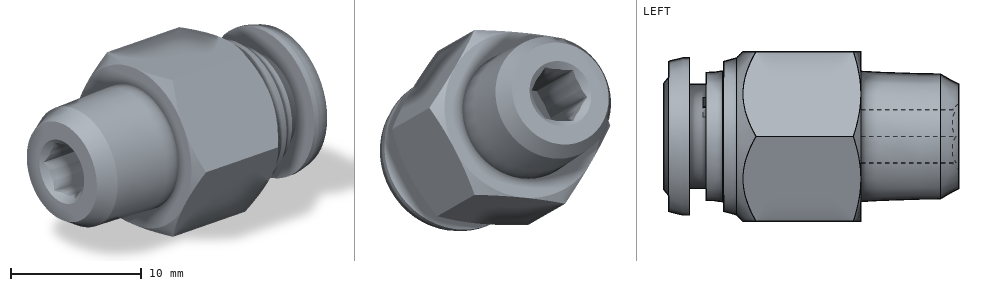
import cadquery as cq
import math

total_length = 22.6

hex_across_flats = 13.0
hex_flat_radius = hex_across_flats / 2
hex_corner_radius = hex_flat_radius / math.cos(math.radians(30))
hex_start = 7.5
hex_chamfer_angle = 30.0
shoulder_start = 17.02
shoulder_end = 18.01
shoulder_base_radius = 6.01
shoulder_end_radius = 5.75

shank_base_radius = 5.0
shank_tip_radius = 4.8
shank_end_radius = 4.0
shank_chamfer_length = 1.42

collar_start = 18.08
collar_end = 19.35
collar_gap_radius = 4.52
collar_base_radius = 5.02
collar_end_radius = 4.9
neck_radius = 4.0
button_start = 20.6
button_taper_start = 21.09
button_taper_end = 22.04
button_face = 22.22
button_radius = 6.03
button_taper_radius = 5.8
button_face_radius = 5.75
nose_base_radius = 4.55
nose_end_radius = 4.07

socket_flat_radius = 2.01
socket_corner_radius = socket_flat_radius / math.cos(math.radians(30))
socket_bore_radius = 2.05
socket_mouth_radius = 2.55
socket_chamfer_angle = 45.0
socket_depth = 7.5

recess_angle = 139.0
recess_width = 1.05
recess_height = 0.23
recess_depth = 1.13


def revolve_profile(points):
    """Revolve a closed (radius, Y) outline around the Y axis."""
    return cq.Workplane("XY").polyline(points).close().revolve(360, (0, 0, 0), (0, 1, 0))


def hex_prism(corner_radius, start, end):
    """Hexagonal prism along Y, with two corners on the X axis."""
    return (
        cq.Workplane("XZ", origin=(0, start, 0))
        .polygon(6, 2 * corner_radius)
        .extrude(start - end)
    )


def make_hex_body():
    """Hexagon with conical corner chamfers, ending in a tapered shoulder."""
    chamfer_length = (hex_corner_radius - hex_flat_radius) * math.tan(math.radians(hex_chamfer_angle))
    upper_cone_start = shoulder_start - (hex_corner_radius - shoulder_base_radius)
    envelope = revolve_profile([
        (0, hex_start),
        (hex_flat_radius, hex_start),
        (hex_corner_radius, hex_start + chamfer_length),
        (hex_corner_radius, upper_cone_start),
        (shoulder_base_radius, shoulder_start),
        (shoulder_end_radius, shoulder_end),
        (0, shoulder_end),
    ])
    return hex_prism(hex_corner_radius, hex_start, shoulder_end).intersect(envelope)


def make_shank():
    return revolve_profile([
        (0, 0),
        (shank_end_radius, 0),
        (shank_tip_radius, shank_chamfer_length),
        (shank_base_radius, hex_start),
        (0, hex_start),
    ])


def make_button_end():
    """Collar with a thin gap below it, neck and flanged release button."""
    return revolve_profile([
        (0, shoulder_end),
        (collar_gap_radius, shoulder_end),
        (collar_gap_radius, collar_start),
        (collar_base_radius, collar_start),
        (collar_end_radius, collar_end),
        (neck_radius, collar_end),
        (neck_radius, button_start),
        (button_radius, button_start),
        (button_radius, button_taper_start),
        (button_taper_radius, button_taper_end),
        (button_face_radius, button_face),
        (nose_base_radius, button_face),
        (nose_end_radius, total_length),
        (0, total_length),
    ])


def make_socket():
    """Blind hexagonal socket with a conical lead-in at its mouth."""
    cone_depth = socket_mouth_radius / math.tan(math.radians(socket_chamfer_angle))
    mouth = revolve_profile([(0, 0), (socket_mouth_radius, 0), (0, cone_depth)])
    bore = revolve_profile([
        (0, 0),
        (socket_bore_radius, 0),
        (socket_bore_radius, socket_depth),
        (0, socket_depth),
    ])
    return hex_prism(socket_corner_radius, 0, socket_depth).union(bore).union(mouth)


def make_neck_recess():
    """Cutter for the recess, centred on the neck surface."""
    return (
        cq.Workplane("XY")
        .box(2 * recess_depth, recess_height, recess_width)
        .translate((neck_radius, collar_end + recess_height / 2, 0))
        .rotate((0, 0, 0), (0, 1, 0), -recess_angle)
    )


result = (
    make_hex_body()
    .union(make_shank())
    .union(make_button_end())
    .cut(make_socket())
    .cut(make_neck_recess())
)